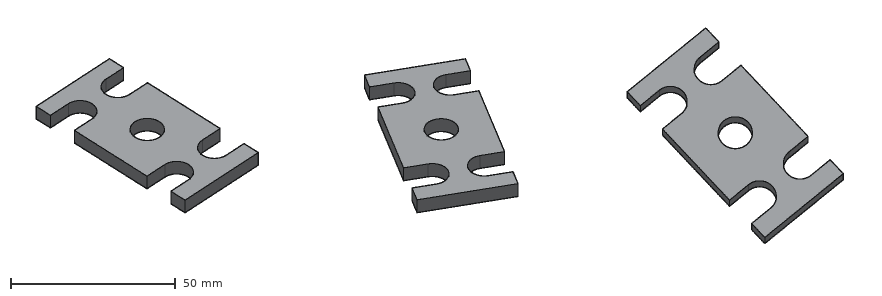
import cadquery as cq

length = 63.5
width = 31.75
thickness = 5.0

hole_diameter = 10.4

slot_width = 10.15
slot_offset = 20.6
web_width = 6.15

slot_radius = slot_width / 2
slot_end_y = web_width / 2 + slot_radius
slot_edge_y = width / 2


def open_slot(side_x, side_y):
    """Cutter for one slot; each side is +1 or -1 and picks the quadrant."""
    x = side_x * slot_offset
    return (
        cq.Workplane("XY")
        .moveTo(x - slot_radius, side_y * slot_edge_y)
        .lineTo(x - slot_radius, side_y * slot_end_y)
        .threePointArc((x, side_y * web_width / 2), (x + slot_radius, side_y * slot_end_y))
        .lineTo(x + slot_radius, side_y * slot_edge_y)
        .close()
        .extrude(thickness)
    )


plate = cq.Workplane("XY").box(length, width, thickness, centered=(True, True, False))
result = plate.faces(">Z").workplane().hole(hole_diameter)

for side_x in (-1, 1):
    for side_y in (-1, 1):
        result = result.cut(open_slot(side_x, side_y))